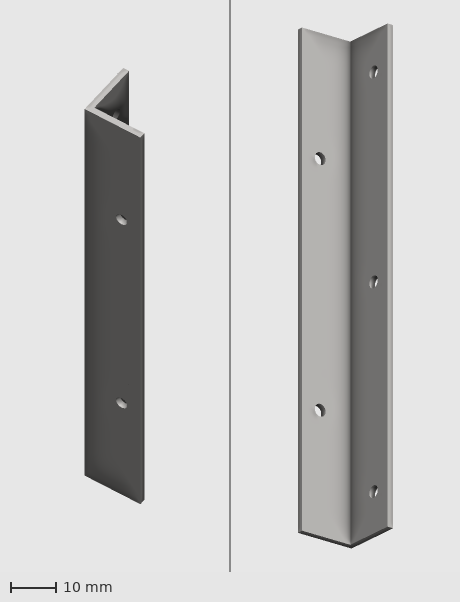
import cadquery as cq

length = 120.0
leg_width = 15.0
thickness = 1.5

hole_diameter = 3.0
hole_from_corner = 10.0
end_margin = 10.0

corner = -leg_width / 2
hole_line = corner + hole_from_corner
front_hole_heights = (-length / 4, length / 4)
side_hole_reach = length / 2 - end_margin
side_hole_heights = (-side_hole_reach, 0, side_hole_reach)


def angle_profile():
    """Extrude the L section, with its outer corner at -X, -Y."""
    inner = corner + thickness
    end = corner + leg_width
    outline = [
        (corner, corner),
        (end, corner),
        (end, inner),
        (inner, inner),
        (inner, end),
        (corner, end),
    ]
    section = cq.Workplane("XY").workplane(offset=-length / 2)
    return section.polyline(outline).close().extrude(length)


def drill(plane_normal, heights):
    """Make the hole cylinders that pass through one leg."""
    origin = (corner, hole_line, 0) if plane_normal.x else (hole_line, corner, 0)
    plane = cq.Plane(origin=origin, xDir=(0, 0, 1), normal=plane_normal)
    centres = [(height, 0) for height in heights]
    return cq.Workplane(plane).pushPoints(centres).circle(hole_diameter / 2).extrude(thickness)


front_holes = drill(cq.Vector(0, 1, 0), front_hole_heights)
side_holes = drill(cq.Vector(1, 0, 0), side_hole_heights)

result = angle_profile().cut(front_holes).cut(side_holes)